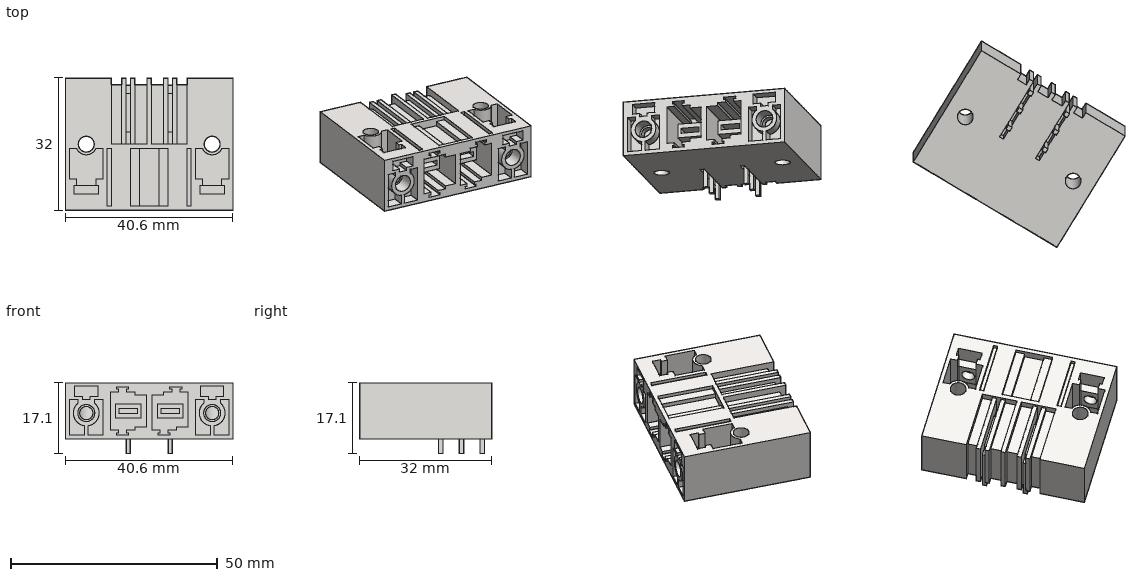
import cadquery as cq

LENGTH = 40.64
DEPTH = 32.0
HEIGHT = 13.6
FRONT = -DEPTH / 2
BACK = DEPTH / 2
WALL = 0.93

CELL_BACK = FRONT + 15.0
COMB_FRONT = FRONT + 16.1
SHELF_BACK = BACK - 1.57

PITCH = 10.16
CONTACT_X = PITCH / 2
CELL_OUTER_X = 9.35
CELL_WIDTH = 8.66
CELL_BOTTOM = 2.95
CELL_TOP = 10.65
CELL_STEP = 0.77
CELL_STEP_WIDTH = 5.9
KEY_OFFSET = 2.88
KEY_STEM_WIDTH = 2.0
KEY_HEAD_WIDTH = 3.0
KEY_HEAD_THICKNESS = 0.55
KEY_REACH = 1.24

TOP_RECESS_FRONT = FRONT + 1.08
SHALLOW_DEPTH = 0.9
DEEP_DEPTH = 2.0
RECESS_WIDTH = 9.16
RECESS_DEEP_WIDTH = 4.8
SLIT_INNER_X = 9.17
SLIT_WIDTH = 1.0

COMB_WIDTH = 18.34
SHELF_DROP = 1.7
FIN_DROP = 0.6
FIN_THICKNESS = 1.1
RIB_THICKNESS = 1.1

FLANGE_X = LENGTH / 2 - PITCH / 2
SCREW_Z = 6.3
SCREW_BORE_RADIUS = 2.06
BOSS_RADIUS = 3.12
BOSS_NECK_WIDTH = 4.04
BOSS_RIB_WIDTH = 0.9
FLANGE_POCKET_WIDTH = 8.08
FLANGE_POCKET_DEPTH = 3.15
FLANGE_POCKET_TOP = 9.57
WINDOW_WIDTH = 5.6
WINDOW_BOTTOM = 10.34
WINDOW_TOP = 12.8
WINDOW_NOTCH_WIDTH = 1.87
WELL_FRONT = FRONT + 7.6
WELL_NECK_WIDTH = 4.62
POST_Y = 0.0
POST_RADIUS = 2.57
POST_BORE_RADIUS = 1.89

NUT_FRONT = FRONT + 4.0
NUT_SIZE = 5.94
NUT_THICKNESS = 2.06
NUT_HOLE_RADIUS = 1.6
NUT_BOTTOM = SCREW_Z - NUT_SIZE / 2
NUT_TOP = SCREW_Z + NUT_SIZE / 2

PLATE_THICKNESS = 1.06
SOCKET_FRONT = FRONT + 5.4
SOCKET_WIDTH = 6.1
SOCKET_HEIGHT = 3.44
SOCKET_Z = HEIGHT / 2
BLADE_SLOT_WIDTH = 4.56
BLADE_SLOT_HEIGHT = 1.25
BLADE_SLOT_DEPTH = 8.0
PLATE_BACK = BACK - 1.72
CREST_FRONT = BACK - 13.1
CREST_BACK = BACK - 3.73
CREST_HEIGHT = 1.0
PIN_DEPTH = 1.15
PIN_PITCH = 5.04
PIN_COUNT = 3
PIN_LENGTH = 3.5


def block(x_range, y_range, z_range):
    """Box between the given limits on each axis."""
    sizes = [high - low for low, high in (x_range, y_range, z_range)]
    corner = (x_range[0], y_range[0], z_range[0])
    return cq.Workplane("XY").box(*sizes, centered=False).translate(corner)


def span(middle, size):
    """Limits of a stretch of the given size around its middle."""
    return (middle - size / 2, middle + size / 2)


def rod_along_y(x, z, radius, y_range):
    plane = cq.Workplane("XZ", origin=(x, y_range[0], z))
    return plane.circle(radius).extrude(y_range[0] - y_range[1])


def rod_along_z(x, y, radius, z_range):
    plane = cq.Workplane("XY", origin=(x, y, z_range[0]))
    return plane.circle(radius).extrude(z_range[1] - z_range[0])


def cell_half(wall_x, inward, core_edge, outward):
    """Stepped upper or lower half of a cell with its T-shaped key slot.

    inward is the X direction from wall_x into the cell; outward is the Z direction of the key slot.
    """
    y_range = (FRONT, CELL_BACK)
    step_edge = core_edge + outward * CELL_STEP
    slot_end = step_edge + outward * KEY_REACH
    key_x = wall_x + inward * KEY_OFFSET
    step_x = sorted((wall_x, wall_x + inward * CELL_STEP_WIDTH))
    step = block(step_x, y_range, sorted((SOCKET_Z, step_edge)))
    stem = block(span(key_x, KEY_STEM_WIDTH), y_range, sorted((SOCKET_Z, slot_end)))
    head_z = sorted((slot_end - outward * KEY_HEAD_THICKNESS, slot_end))
    head = block(span(key_x, KEY_HEAD_WIDTH), y_range, head_z)
    return step.union(stem).union(head)


def plug_cell(side):
    """Front cavity; the upper half is mirrored between cells, the lower half is repeated."""
    left_x = min(side * CELL_OUTER_X, side * (CELL_OUTER_X - CELL_WIDTH))
    cell = block((left_x, left_x + CELL_WIDTH), (FRONT, CELL_BACK), (CELL_BOTTOM, CELL_TOP))
    upper = cell_half(side * CELL_OUTER_X, -side, CELL_TOP, 1)
    lower = cell_half(left_x, 1, CELL_BOTTOM, -1)
    return cell.union(upper).union(lower)


def top_recesses():
    """Stepped recess in the middle and a narrow slit on either side of it."""
    y_range = (TOP_RECESS_FRONT, CELL_BACK)
    shallow_z = (HEIGHT - SHALLOW_DEPTH, HEIGHT)
    recesses = block(span(0, RECESS_WIDTH), y_range, shallow_z)
    deep = block(span(0, RECESS_DEEP_WIDTH), y_range, (HEIGHT - DEEP_DEPTH, HEIGHT))
    recesses = recesses.union(deep)
    for side in (-1, 1):
        slit_x = span(side * (SLIT_INNER_X + SLIT_WIDTH / 2), SLIT_WIDTH)
        recesses = recesses.union(block(slit_x, y_range, shallow_z))
    return recesses


def comb_space():
    """Material removed at the rear, leaving a shelf, a central rib and two pairs of fins."""
    comb_x = span(0, COMB_WIDTH)
    space = block(comb_x, (COMB_FRONT, BACK), (HEIGHT - SHELF_DROP, HEIGHT))
    space = space.union(block(comb_x, (SHELF_BACK, BACK), (0, HEIGHT)))
    space = space.cut(block(span(0, RIB_THICKNESS), (COMB_FRONT, BACK), (0, HEIGHT)))
    for contact_x in (-CONTACT_X, CONTACT_X):
        for side in (-1, 1):
            fin_x = contact_x + side * (PLATE_THICKNESS + FIN_THICKNESS) / 2
            fin = block(span(fin_x, FIN_THICKNESS), (COMB_FRONT, BACK), (0, HEIGHT - FIN_DROP))
            space = space.cut(fin)
        gap = block(span(contact_x, PLATE_THICKNESS), (COMB_FRONT, BACK), (0, HEIGHT))
        space = space.union(gap)
    return space


def wall_passage(x):
    """Opening through the rear cell wall for the contact plate."""
    return block(span(x, PLATE_THICKNESS), (CELL_BACK, COMB_FRONT), span(SOCKET_Z, SOCKET_HEIGHT))


def flange_space(x):
    """Everything removed from one screw flange."""
    pocket_y = (FRONT, FRONT + FLANGE_POCKET_DEPTH)

    pockets = block(span(x, FLANGE_POCKET_WIDTH), pocket_y, (WALL, FLANGE_POCKET_TOP))
    boss = rod_along_y(x, SCREW_Z, BOSS_RADIUS, pocket_y)
    boss_neck = block(span(x, BOSS_NECK_WIDTH), pocket_y, (SCREW_Z, FLANGE_POCKET_TOP))
    boss_rib = block(span(x, BOSS_RIB_WIDTH), pocket_y, (WALL, SCREW_Z))
    pockets = pockets.cut(boss).cut(boss_neck).cut(boss_rib)

    window = block(span(x, WINDOW_WIDTH), pocket_y, (WINDOW_BOTTOM, WINDOW_TOP))
    notch = block(span(x, WINDOW_NOTCH_WIDTH), pocket_y, (FLANGE_POCKET_TOP, WINDOW_BOTTOM))

    nut_back = NUT_FRONT + NUT_THICKNESS
    nut_slot = block(span(x, NUT_SIZE), (NUT_FRONT, nut_back), (NUT_BOTTOM, HEIGHT))
    well = block(span(x, FLANGE_POCKET_WIDTH), (WELL_FRONT, CELL_BACK), (WALL, HEIGHT))
    well_neck = block(span(x, WELL_NECK_WIDTH), (nut_back, WELL_FRONT), (WALL, HEIGHT))
    well = well.union(well_neck).cut(rod_along_z(x, POST_Y, POST_RADIUS, (0, HEIGHT)))

    screw_bore = rod_along_y(x, SCREW_Z, SCREW_BORE_RADIUS, (FRONT, NUT_FRONT))
    post_bore = rod_along_z(x, POST_Y, POST_BORE_RADIUS, (0, HEIGHT))

    space = pockets
    for part in (window, notch, nut_slot, well, screw_bore, post_bore):
        space = space.union(part)
    return space


def make_housing():
    body = block(span(0, LENGTH), (FRONT, BACK), (0, HEIGHT))
    body = body.cut(top_recesses()).cut(comb_space())
    for side in (-1, 1):
        body = body.cut(plug_cell(side))
        body = body.cut(wall_passage(side * CONTACT_X))
        body = body.cut(flange_space(side * FLANGE_X))
    return body


def make_contact(x):
    """Socket with a blade slot, a plate running to the rear and a row of solder pins."""
    socket_y = (SOCKET_FRONT, CELL_BACK)
    plate_x = span(x, PLATE_THICKNESS)
    plate_z = span(SOCKET_Z, SOCKET_HEIGHT)

    socket = block(span(x, SOCKET_WIDTH), socket_y, plate_z)
    slot_y = (SOCKET_FRONT, SOCKET_FRONT + BLADE_SLOT_DEPTH)
    blade_slot = block(span(x, BLADE_SLOT_WIDTH), slot_y, span(SOCKET_Z, BLADE_SLOT_HEIGHT))
    socket = socket.cut(blade_slot)

    plate = block(plate_x, (CELL_BACK, PLATE_BACK), plate_z)
    crest_z = (SOCKET_Z, plate_z[1] + CREST_HEIGHT)
    crest = block(plate_x, (CREST_FRONT, CREST_BACK), crest_z)
    contact = socket.union(plate).union(crest)

    for index in range(PIN_COUNT):
        pin_back = PLATE_BACK - index * PIN_PITCH
        pin = block(plate_x, (pin_back - PIN_DEPTH, pin_back), (-PIN_LENGTH, SOCKET_Z))
        contact = contact.union(pin)
    return contact


def make_nut(x):
    nut_y = (NUT_FRONT, NUT_FRONT + NUT_THICKNESS)
    nut = block(span(x, NUT_SIZE), nut_y, (NUT_BOTTOM, NUT_TOP))
    return nut.cut(rod_along_y(x, SCREW_Z, NUT_HOLE_RADIUS, nut_y))


housing = make_housing()
contacts = [make_contact(side * CONTACT_X) for side in (-1, 1)]
nuts = [make_nut(side * FLANGE_X) for side in (-1, 1)]

result = cq.Compound.makeCompound([body.val() for body in (housing, *contacts, *nuts)])